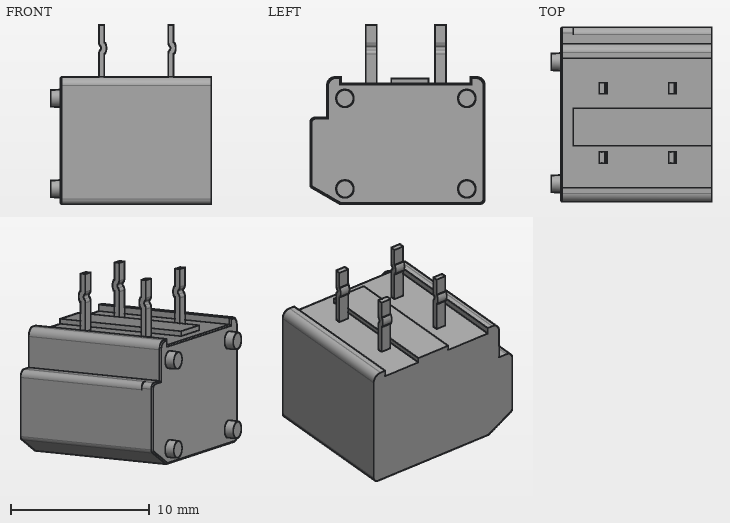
import cadquery as cq
import math

BODY_FRONT_X = 0.7
BODY_BACK_X = 11.6
BODY_DEPTH_Y = 12.6
UPPER_DEPTH_Y = 11.4
LEDGE_Z = 6.28
FLOOR_Z = 8.73
RIM_Z = 9.2
RIM_WIDTH = 1.04
RIM_RADIUS = 0.62
EDGE_RADIUS = 0.4
SLOPE_RUN = 2.18
SLOPE_ANGLE = 30
SLOPE_RADIUS = 0.3
FRONT_CHAMFER = 0.1

FRONT_WALL = 0.91
REAR_LEDGE_RADIUS = 0.52

STRIP_Y = 4.05
STRIP_WIDTH = 2.71
STRIP_HEIGHT = 0.36

STUD_DIAMETER = 1.3
STUD_TIP_DIAMETER = 1.22
STUD_SPACING_Y = 8.79
STUD_ROWS_Z = (1.11, 7.64)

PIN_TOP_Z = 12.95
PIN_THICKNESS = 0.4
PIN_WIDTH = 0.8
PIN_SPACING = 5.0
FIRST_PIN_X = 3.48
KINK_Z = 11.27
KINK_INNER_RADIUS = 0.2
KINK_HALF_HEIGHT = 0.4
KINK_STEP = 0.05
KINK_ANGLE = math.asin(KINK_HALF_HEIGHT / (KINK_INNER_RADIUS + PIN_THICKNESS))

CENTER_Y = UPPER_DEPTH_Y / 2
SLOPE_RISE = SLOPE_RUN * math.tan(math.radians(SLOPE_ANGLE))


def round_edge(solid, y, z, radius):
    """Fillet the X-direction edge that runs through (y, z)."""
    edge = cq.selectors.NearestToPointSelector(((BODY_FRONT_X + BODY_BACK_X) / 2, y, z))
    return solid.edges("|X").edges(edge).fillet(radius)


def make_block(front_x, ledge_radius):
    """Housing section from front_x to the back face."""
    outline = [
        (0, 0),
        (BODY_DEPTH_Y - SLOPE_RUN, 0),
        (BODY_DEPTH_Y, SLOPE_RISE),
        (BODY_DEPTH_Y, LEDGE_Z),
        (UPPER_DEPTH_Y, LEDGE_Z),
        (UPPER_DEPTH_Y, RIM_Z),
        (UPPER_DEPTH_Y - RIM_WIDTH, RIM_Z),
        (UPPER_DEPTH_Y - RIM_WIDTH, FLOOR_Z),
        (RIM_WIDTH, FLOOR_Z),
        (RIM_WIDTH, RIM_Z),
        (0, RIM_Z),
    ]
    block = (
        cq.Workplane("YZ", origin=(front_x, 0, 0))
        .polyline(outline).close()
        .extrude(BODY_BACK_X - front_x)
    )
    block = round_edge(block, 0, 0, EDGE_RADIUS)
    block = round_edge(block, BODY_DEPTH_Y, SLOPE_RISE, SLOPE_RADIUS)
    block = round_edge(block, BODY_DEPTH_Y, LEDGE_Z, ledge_radius)
    block = round_edge(block, UPPER_DEPTH_Y, RIM_Z, RIM_RADIUS)
    return round_edge(block, 0, RIM_Z, RIM_RADIUS)


def make_housing():
    rear_x = BODY_FRONT_X + FRONT_WALL
    front = make_block(BODY_FRONT_X, EDGE_RADIUS).faces("<X").chamfer(FRONT_CHAMFER)
    front_wall = front.intersect(
        cq.Workplane().box(rear_x, BODY_DEPTH_Y, RIM_Z, centered=False)
    )
    return front_wall.union(make_block(rear_x, REAR_LEDGE_RADIUS))


def make_strip():
    front_x = BODY_FRONT_X + FRONT_WALL
    return (
        cq.Workplane(origin=(front_x, STRIP_Y, FLOOR_Z))
        .box(BODY_BACK_X - front_x, STRIP_WIDTH, STRIP_HEIGHT, centered=False)
    )


def make_studs():
    half_spacing = STUD_SPACING_Y / 2
    centers = [(CENTER_Y + side * half_spacing, z) for side in (-1, 1) for z in STUD_ROWS_Z]
    taper = math.atan((STUD_DIAMETER - STUD_TIP_DIAMETER) / 2 / BODY_FRONT_X)
    return (
        cq.Workplane("YZ", origin=(BODY_FRONT_X, 0, 0))
        .pushPoints(centers)
        .circle(STUD_DIAMETER / 2)
        .extrude(-BODY_FRONT_X, taper=math.degrees(taper))
    )


def make_pin(front_x, center_y):
    """Flat pin with a hollow on its front side and a matching bulge on its back side."""
    back_x = front_x + PIN_THICKNESS
    shoulder_x = back_x + KINK_STEP
    shift = (KINK_INNER_RADIUS + PIN_THICKNESS) * (1 - math.cos(KINK_ANGLE))
    join_dz = KINK_INNER_RADIUS * math.sin(KINK_ANGLE)
    join_x = back_x - PIN_THICKNESS * math.cos(KINK_ANGLE)
    mid_x = back_x - PIN_THICKNESS * math.cos(KINK_ANGLE / 2)
    mid_dz = KINK_HALF_HEIGHT - PIN_THICKNESS * math.sin(KINK_ANGLE / 2)
    return (
        cq.Workplane("XZ", origin=(0, center_y, 0))
        .moveTo(front_x, FLOOR_Z)
        .lineTo(back_x, FLOOR_Z)
        .lineTo(back_x, KINK_Z - KINK_HALF_HEIGHT)
        .lineTo(shoulder_x, KINK_Z - KINK_HALF_HEIGHT)
        .threePointArc((back_x + shift, KINK_Z), (shoulder_x, KINK_Z + KINK_HALF_HEIGHT))
        .lineTo(back_x, KINK_Z + KINK_HALF_HEIGHT)
        .lineTo(back_x, PIN_TOP_Z)
        .lineTo(front_x, PIN_TOP_Z)
        .lineTo(front_x, KINK_Z + KINK_HALF_HEIGHT)
        .threePointArc((mid_x, KINK_Z + mid_dz), (join_x, KINK_Z + join_dz))
        .threePointArc((front_x + shift, KINK_Z), (join_x, KINK_Z - join_dz))
        .threePointArc((mid_x, KINK_Z - mid_dz), (front_x, KINK_Z - KINK_HALF_HEIGHT))
        .close()
        .extrude(PIN_WIDTH / 2, both=True)
    )


result = make_housing().union(make_strip()).union(make_studs())
for pin_x in (FIRST_PIN_X, FIRST_PIN_X + PIN_SPACING):
    for side in (-1, 1):
        result = result.union(make_pin(pin_x, CENTER_Y + side * PIN_SPACING / 2))